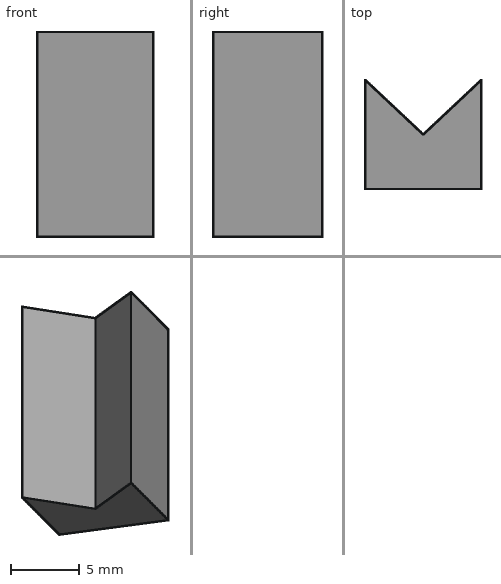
import cadquery as cq

width = 8.5
depth = 8.0
height = 15.0

notch_depth = depth / 2

profile = [
    (-width / 2, -depth / 2),
    (width / 2, -depth / 2),
    (width / 2, depth / 2),
    (0, depth / 2 - notch_depth),
    (-width / 2, depth / 2),
]

result = cq.Workplane("XY").polyline(profile).close().extrude(height)